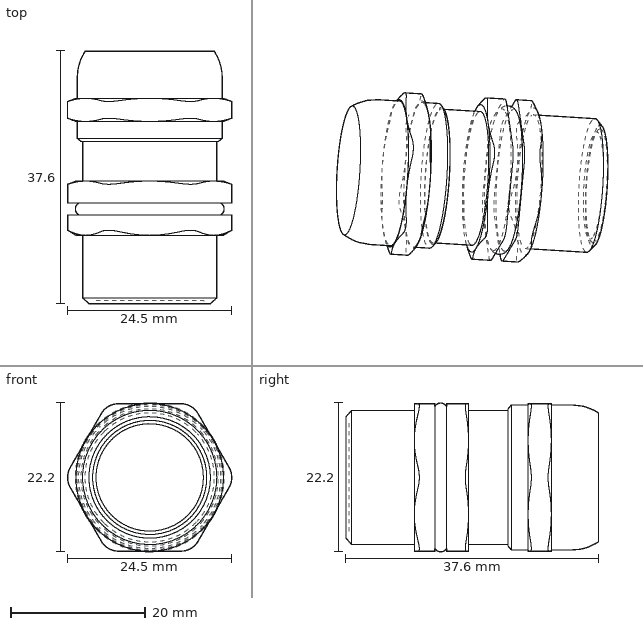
import cadquery as cq
import math


body_diameter = 20.0
entry_chamfer_length = 0.87
entry_chamfer_depth = 0.95
recess_mouth_diameter = 17.0
recess_floor_diameter = 16.0
recess_depth = 0.5

locknut_start = 10.2
locknut_end = 13.25
flange_start = 15.0
flange_end = 18.27
cap_start = 24.15
cap_hex_start = 27.15
cap_hex_end = 30.6
dome_start = 33.65
overall_length = 37.63

cap_diameter = 21.65
cap_chamfer_length = 0.5
cap_chamfer_depth = 0.6
dome_end_diameter = 19.25

hex_across_flats = 22.0
hex_corner_radius = 3.0
flange_bevel_angle = 21.0
locknut_bevel_angle = 31.0

seal_outer_diameter = 22.2
seal_section_radius = 1.0


def revolve_about_axis(profile):
    """Turn a closed (radius, y) profile about the Y axis."""
    return profile.close().revolve(360, (0, 0, 0), (0, 1, 0))


def make_body():
    radius = body_diameter / 2
    profile = (
        cq.Workplane("XY")
        .moveTo(0, recess_depth)
        .lineTo(recess_floor_diameter / 2, recess_depth)
        .lineTo(recess_mouth_diameter / 2, 0)
        .lineTo(radius - entry_chamfer_depth, 0)
        .lineTo(radius, entry_chamfer_length)
        .lineTo(radius, cap_start)
        .lineTo(0, cap_start)
    )
    return revolve_about_axis(profile)


def make_cap():
    radius = cap_diameter / 2
    end_radius = dome_end_diameter / 2
    profile = (
        cq.Workplane("XY")
        .moveTo(0, cap_start)
        .lineTo(radius - cap_chamfer_depth, cap_start)
        .lineTo(radius, cap_start + cap_chamfer_length)
        .lineTo(radius, dome_start)
        .tangentArcPoint((end_radius, overall_length), relative=False)
        .lineTo(0, overall_length)
    )
    return revolve_about_axis(profile)


def make_hex(start, end, bevel_angle, bevel_start, bevel_end):
    """Hexagon with rounded corners, flats facing +Z and -Z, and conical bevels on the chosen faces."""
    across_corners = hex_across_flats / math.cos(math.radians(30))
    prism = (
        cq.Workplane("XZ", origin=(0, start, 0))
        .polygon(6, across_corners)
        .extrude(start - end)
        .edges("|Y")
        .fillet(hex_corner_radius)
    )
    face_radius = hex_across_flats / 2
    rim_radius = across_corners / 2
    bevel_length = (rim_radius - face_radius) * math.tan(math.radians(bevel_angle))
    envelope = cq.Workplane("XY").moveTo(0, start)
    if bevel_start:
        envelope = envelope.lineTo(face_radius, start).lineTo(rim_radius, start + bevel_length)
    else:
        envelope = envelope.lineTo(rim_radius, start)
    if bevel_end:
        envelope = envelope.lineTo(rim_radius, end - bevel_length).lineTo(face_radius, end)
    else:
        envelope = envelope.lineTo(rim_radius, end)
    return prism.intersect(revolve_about_axis(envelope.lineTo(0, end)))


def make_seal():
    """Sealing ring between the locknut and the flange, with a round outer side."""
    outer_radius = seal_outer_diameter / 2
    half_width = (flange_start - locknut_end) / 2
    bulge = seal_section_radius - math.sqrt(seal_section_radius**2 - half_width**2)
    side_radius = outer_radius - bulge
    profile = (
        cq.Workplane("XY")
        .moveTo(0, locknut_end)
        .lineTo(side_radius, locknut_end)
        .threePointArc((outer_radius, locknut_end + half_width), (side_radius, flange_start))
        .lineTo(0, flange_start)
    )
    return revolve_about_axis(profile)


locknut = make_hex(locknut_start, locknut_end, locknut_bevel_angle, True, False)
flange = make_hex(flange_start, flange_end, flange_bevel_angle, False, True)
cap_hex = make_hex(cap_hex_start, cap_hex_end, flange_bevel_angle, True, True)

result = make_body().union(make_cap())
for feature in (locknut, make_seal(), flange, cap_hex):
    result = result.union(feature)